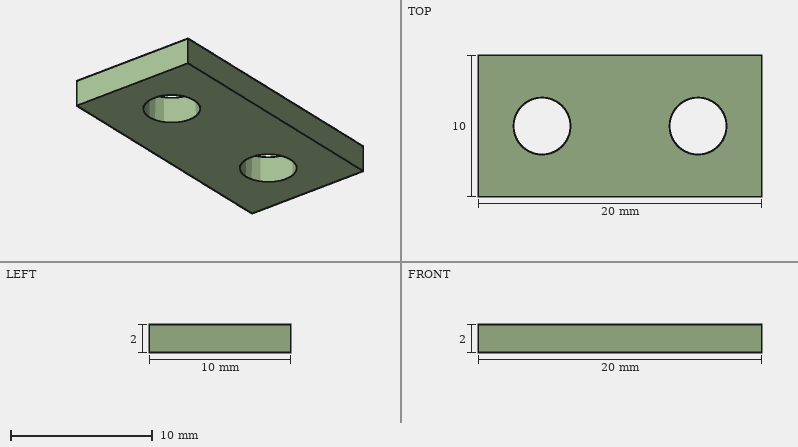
import cadquery as cq

length = 20
width = 10
thickness = 2

hole_diameter = 4
hole_spacing = 11

plate = cq.Workplane("XY").box(length, width, thickness)

result = (
    plate.faces(">Z")
    .workplane()
    .rarray(hole_spacing, 0.2, 2, 1)
    .hole(hole_diameter)
)